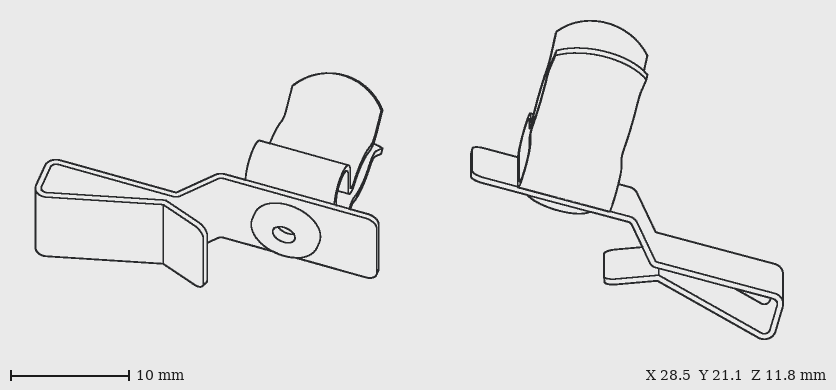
import cadquery as cq
import math


SHEET = 0.5
STRIP_WIDTH = 8.0
HALF_WIDTH = STRIP_WIDTH / 2
COINCIDENT = 1e-6

PLATE_END_X = 8.0
SPRING_END_X = -20.5
SPRING_BOTTOM_Y = -7.5
CORNER_RADIUS = 1.0
SPRING_BEND = 0.5
JOGGLE_START_X = -5.83
JOGGLE_ANGLE = 50.0
JOGGLE_FOOT_BEND = 0.2
JOGGLE_DROP = 3.28
LATCH_ANGLE = 15.0
LATCH_PEAK_X = -9.64
LEAD_ANGLE = 21.0
LEAD_LENGTH = 4.5

CLIP_HEIGHT = 11.8
CLIP_TIP_Y = 13.59
LOOP_RADIUS = 1.5
JAW_GAP = 1.4
REAR_VALLEY_BEND = 0.5
FRONT_VALLEY_BEND = 1.0
CREST_Y = 6.95
CREST_RADIUS = 3.8
TAB_ANGLE = 43.0
TAB_TIP_RADIUS = 5.0

HEAD_RADIUS = 3.0
HEAD_HEIGHT = 1.0
HEAD_FILLET = 0.2
DIMPLE_RADIUS = 1.0
DIMPLE_DEPTH = 1.0
NECK_RADIUS = 1.55
SHANK_RADIUS = 1.6
SHANK_START_Y = 1.2
SHANK_END_Y = 3.0


class BentStrip:
    """Profile of a bent sheet, drawn by travelling along its right-hand face."""

    def __init__(self, start, heading):
        self.position = cq.Vector(*start)
        self.heading = heading
        self.right = [(self.position, None)]
        self.left = [(self.position + self.normal() * SHEET, None)]

    def direction(self):
        angle = math.radians(self.heading)
        return cq.Vector(math.cos(angle), math.sin(angle))

    def normal(self):
        angle = math.radians(self.heading + 90)
        return cq.Vector(math.cos(angle), math.sin(angle))

    def straight(self, length):
        self.position += self.direction() * length

    def bend(self, turn, inner_radius):
        """Turn by an angle, positive to the left, with the given radius on the inner face."""
        to_centre = inner_radius + SHEET if turn > 0 else -inner_radius
        centre = self.position + self.normal() * to_centre
        normals = [self.normal()]
        for _ in range(2):
            self.heading += turn / 2
            normals.append(self.normal())
        for face, offset in ((self.right, 0), (self.left, SHEET)):
            start, middle, end = [centre + n * (offset - to_centre) for n in normals]
            if (start - face[-1][0]).Length > COINCIDENT:
                face.append((start, None))
            face.append((end, middle))
        self.position = centre - self.normal() * to_centre

    def fold(self, turn):
        """Turn by an angle with a sharp mitre on both faces."""
        self.heading += turn / 2
        mitre = SHEET / math.cos(math.radians(turn / 2))
        self.right.append((self.position, None))
        self.left.append((self.position + self.normal() * mitre, None))
        self.heading += turn / 2

    def finish(self):
        self.right.append((self.position, None))
        self.left.append((self.position + self.normal() * SHEET, None))

    def extrude(self, plane):
        """Solid of the closed profile, centred on the plane across its width."""
        start = self.right[0][0]
        outline = cq.Workplane(plane).moveTo(start.x, start.y)

        def go(sketch, point, middle):
            """Draw on to a point, along an arc if there is a middle point."""
            if middle is None:
                return sketch.lineTo(point.x, point.y)
            return sketch.threePointArc((middle.x, middle.y), (point.x, point.y))

        for point, middle in self.right[1:]:
            outline = go(outline, point, middle)
        outline = go(outline, self.left[-1][0], None)
        for (point, _), (_, middle) in zip(self.left[-2::-1], self.left[:0:-1]):
            outline = go(outline, point, middle)
        return outline.close().extrude(HALF_WIDTH, both=True)


def rivet_hole():
    return cq.Workplane("XZ").circle(NECK_RADIUS).extrude(SHEET, both=True)


def make_spring():
    outer_bend = SPRING_BEND + SHEET
    hook_centre_x = SPRING_END_X + outer_bend
    joggle = math.radians(JOGGLE_ANGLE)
    latch = math.radians(LATCH_ANGLE)
    drop_in_bends = (outer_bend + JOGGLE_FOOT_BEND) * (1 - math.cos(joggle))

    strip = BentStrip((PLATE_END_X, 0), 180)
    strip.straight(PLATE_END_X - JOGGLE_START_X)
    strip.bend(JOGGLE_ANGLE, SPRING_BEND)
    strip.straight((JOGGLE_DROP - drop_in_bends) / math.sin(joggle))
    strip.bend(-JOGGLE_ANGLE, JOGGLE_FOOT_BEND)
    strip.straight(strip.position.x - hook_centre_x)
    strip.bend(90, SPRING_BEND)
    strip.straight(strip.position.y - (SPRING_BOTTOM_Y + outer_bend))
    strip.bend(90 + LATCH_ANGLE, SPRING_BEND)
    strip.straight((LATCH_PEAK_X - strip.position.x) / math.cos(latch))
    strip.fold(-LATCH_ANGLE - LEAD_ANGLE)
    strip.straight(LEAD_LENGTH)
    strip.finish()

    spring = strip.extrude("XY")
    spring = spring.faces(">X").edges("|Y").fillet(CORNER_RADIUS)
    lead_end = cq.NearestToPointSelector((strip.position + strip.normal() * SHEET / 2).toTuple())
    across_sheet = cq.ParallelDirSelector(strip.normal())
    spring = spring.faces(lead_end).edges(across_sheet).fillet(CORNER_RADIUS)
    return spring.cut(rivet_hole())


def tab_tip_waste(strip):
    """Material outside the rounded tip of the tab at the end of the strip."""
    plane = cq.Plane(
        origin=(0, strip.position.x, strip.position.y),
        xDir=(1, 0, 0),
        normal=(0, strip.normal().x, strip.normal().y),
    )
    tip_start = math.sqrt(TAB_TIP_RADIUS**2 - HALF_WIDTH**2) - TAB_TIP_RADIUS
    beyond_tip = SHEET
    return (
        cq.Workplane(plane)
        .moveTo(-HALF_WIDTH, tip_start)
        .threePointArc((0, 0), (HALF_WIDTH, tip_start))
        .lineTo(HALF_WIDTH, beyond_tip)
        .lineTo(-HALF_WIDTH, beyond_tip)
        .close()
        .extrude(SHEET)
    )


def make_clip():
    outer_loop = LOOP_RADIUS + SHEET
    loop_z = CLIP_HEIGHT / 2 - outer_loop
    rear_valley_z = JAW_GAP / 2 + SHEET + REAR_VALLEY_BEND
    front_valley_z = JAW_GAP / 2 + SHEET + FRONT_VALLEY_BEND
    rear_valley_y = 2 * outer_loop + REAR_VALLEY_BEND

    crest_outer = CREST_RADIUS + SHEET
    rear_reach = crest_outer + REAR_VALLEY_BEND
    front_reach = crest_outer + FRONT_VALLEY_BEND
    rear_angle = math.asin((CREST_Y - rear_valley_y) / rear_reach)
    crest_z = rear_reach * math.cos(rear_angle) - rear_valley_z
    front_angle = math.acos((crest_z + front_valley_z) / front_reach)
    rear_turn = math.degrees(rear_angle)
    front_turn = math.degrees(front_angle)
    tab = math.radians(TAB_ANGLE)

    strip = BentStrip((0, 0), -90)
    strip.straight(loop_z)
    strip.bend(180, LOOP_RADIUS)
    strip.straight(loop_z - rear_valley_z)
    strip.bend(-90 - rear_turn, REAR_VALLEY_BEND)
    strip.bend(rear_turn + front_turn, CREST_RADIUS)
    strip.bend(-front_turn - TAB_ANGLE, FRONT_VALLEY_BEND)
    strip.straight((CLIP_TIP_Y - SHEET * math.sin(tab) - strip.position.x) / math.cos(tab))
    strip.finish()

    lower_half = strip.extrude("YZ").cut(tab_tip_waste(strip))
    clip = lower_half.union(lower_half.mirror("XY"))
    return clip.cut(rivet_hole())


def make_rivet():
    head_face_y = -SHEET - HEAD_HEIGHT
    head = (
        cq.Workplane("XZ", origin=(0, -SHEET, 0))
        .circle(HEAD_RADIUS)
        .extrude(HEAD_HEIGHT)
        .edges()
        .fillet(HEAD_FILLET)
    )
    shank = (
        cq.Workplane("XY")
        .moveTo(0, -SHEET)
        .lineTo(NECK_RADIUS, -SHEET)
        .lineTo(NECK_RADIUS, SHEET)
        .lineTo(SHANK_RADIUS, SHANK_START_Y)
        .lineTo(SHANK_RADIUS, SHANK_END_Y)
        .lineTo(0, SHANK_END_Y)
        .close()
        .revolve(360, (0, 0, 0), (0, 1, 0))
    )
    dimple = (
        cq.Workplane("XZ", origin=(0, head_face_y + DIMPLE_DEPTH, 0))
        .circle(DIMPLE_RADIUS)
        .extrude(DIMPLE_DEPTH)
    )
    return head.union(shank).cut(dimple)


spring = make_spring()
clip = make_clip()
rivet = make_rivet()

result = cq.Compound.makeCompound([body.solids().val() for body in (spring, clip, rivet)])